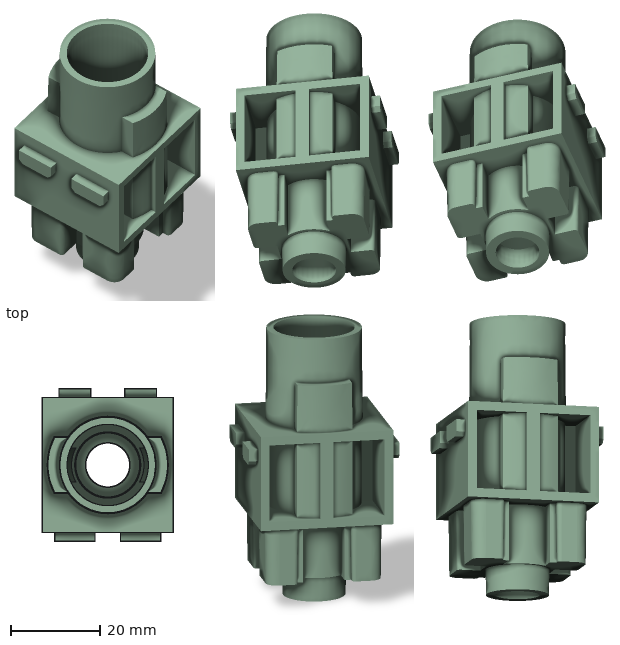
import cadquery as cq
import math

LEG_BOTTOM_Z = 5.7
BLOCK_BOTTOM_Z = 19.1
BLOCK_HEIGHT = 21.75
BARREL_TOP_Z = 61.7
BLOCK_TOP_Z = BLOCK_BOTTOM_Z + BLOCK_HEIGHT

BLOCK_X = 29.35
BLOCK_Y = 30.2
WALL = 2.0
DIVIDER = 3.0
WEB = 2.0
INNER_TUBE_RADIUS = 10.6

BARREL_BASE_RADIUS = 10.9
BARREL_TOP_RADIUS = 10.7

KEY_RADIUS = 13.55
KEY_WIDTH = 12.7
KEY_HEIGHT = 10.8
KEY_DRAFT = 0.8

TAB_PROTRUSION = 2.0
TAB_HEIGHT = 3.75
TAB_DROP = 3.75
TAB_OFFSET_X = 7.35
FRONT_TAB_WIDTH = 9.0
BACK_TAB_WIDTH = 7.2
TAB_CHAMFER = 1.0

CORE_X = 21.7
CORE_Y = 15.8
CORE_TUBE_RADIUS = 8.1
CORE_SLOT_WIDTH = 9.5
LEG_INNER_X = 2.5
LEG_OUTER_X = 12.75
LEG_INNER_Y = 6.05
LEG_OUTER_Y = 13.3
LEG_OUTER_FILLET = 2.8
LEG_INNER_FILLET = 1.0
LEG_DRAFT = 0.75

SPOUT_TOP_RADIUS = 7.2
SPOUT_BOTTOM_RADIUS = 7.05

BORE_RADIUS = 18.2 / 2
SHOULDER_Z = BLOCK_BOTTOM_Z + WALL
SEAT_TOP_RADIUS = 7.4
SEAT_BOTTOM_RADIUS = 7.15
OUTLET_TOP_RADIUS = 5.0
OUTLET_BOTTOM_RADIUS = 4.9

RAMP_FOOT_RADIUS = CORE_TUBE_RADIUS
RAMP_HEIGHT = 2.0
RAMP_WIDTH = 7.6
RAMP_OVERLAP = 0.5


def box(size_x, size_y, bottom, top):
    """Box centred on the Z axis between two heights."""
    return (
        cq.Workplane("XY")
        .workplane(offset=bottom)
        .rect(size_x, size_y)
        .extrude(top - bottom)
    )


def cylinder(radius, bottom, top):
    return cq.Workplane("XY").workplane(offset=bottom).circle(radius).extrude(top - bottom)


def cone(bottom_radius, top_radius, bottom, top):
    """Solid of revolution with a straight tapered side."""
    profile = [(0, bottom), (bottom_radius, bottom), (top_radius, top), (0, top)]
    return cq.Workplane("XZ").polyline(profile).close().revolve(360, (0, 0), (0, 1))


def key_outline(bottom):
    """Circle cut off by two flats, enclosing both keys."""
    half_width = KEY_WIDTH / 2
    flat_end_x = math.sqrt(KEY_RADIUS**2 - half_width**2)
    return (
        cq.Workplane("XY")
        .workplane(offset=bottom)
        .moveTo(-flat_end_x, -half_width)
        .lineTo(flat_end_x, -half_width)
        .threePointArc((KEY_RADIUS, 0), (flat_end_x, half_width))
        .lineTo(-flat_end_x, half_width)
        .threePointArc((-KEY_RADIUS, 0), (-flat_end_x, -half_width))
        .close()
    )


def make_block():
    """Frame, central web, divider and the tube with keys that passes through."""
    floor_z = BLOCK_BOTTOM_Z + WALL
    ceiling_z = BLOCK_TOP_Z - WALL
    chamber = box(BLOCK_X, BLOCK_Y - 2 * WALL, floor_z, ceiling_z)
    block = box(BLOCK_X, BLOCK_Y, BLOCK_BOTTOM_Z, BLOCK_TOP_Z).cut(chamber)
    block = block.union(box(WEB, BLOCK_Y, BLOCK_BOTTOM_Z, BLOCK_TOP_Z))
    block = block.union(box(BLOCK_X, DIVIDER, BLOCK_BOTTOM_Z, BLOCK_TOP_Z))
    block = block.union(cylinder(INNER_TUBE_RADIUS, BLOCK_BOTTOM_Z, BLOCK_TOP_Z))
    return block.union(key_outline(BLOCK_BOTTOM_Z).extrude(BLOCK_HEIGHT))


def make_barrel():
    barrel = cone(BARREL_BASE_RADIUS, BARREL_TOP_RADIUS, BLOCK_TOP_Z, BARREL_TOP_Z)
    return barrel.union(key_outline(BLOCK_TOP_Z).extrude(KEY_HEIGHT, taper=KEY_DRAFT))


def make_tab(side, width, centre_x):
    """Tab on the -Y (side = -1) or +Y (side = 1) face, lower corners chamfered."""
    top = BLOCK_TOP_Z - TAB_DROP
    tab = box(width, TAB_PROTRUSION, top - TAB_HEIGHT, top)
    tab = tab.faces("<Z").edges("|Y").chamfer(TAB_CHAMFER)
    return tab.translate((centre_x, side * (BLOCK_Y + TAB_PROTRUSION) / 2, 0))


def make_core():
    """Body below the block, slotted from +X and -X down to a round wall."""
    core = box(CORE_X, CORE_Y, LEG_BOTTOM_Z, BLOCK_BOTTOM_Z)
    slot = box(CORE_X, CORE_SLOT_WIDTH, LEG_BOTTOM_Z, BLOCK_BOTTOM_Z)
    slot = slot.cut(cylinder(CORE_TUBE_RADIUS, LEG_BOTTOM_Z, BLOCK_BOTTOM_Z))
    return core.cut(slot)


def make_leg():
    """Corner leg at +X, +Y with drafted sides, narrower at the bottom."""
    x0, x1 = LEG_INNER_X, LEG_OUTER_X
    y0, y1 = LEG_INNER_Y, LEG_OUTER_Y
    big, small = LEG_OUTER_FILLET, LEG_INNER_FILLET
    sketch = (
        cq.Sketch()
        .polygon([(x0, y0), (x1, y0), (x1, y1), (x0, y1), (x0, y0)])
        .vertices(">X and >Y").fillet(big).reset()
        .vertices(">X and <Y").fillet(small).reset()
        .vertices("<X and >Y").fillet(small).reset()
    )
    height = BLOCK_BOTTOM_Z - LEG_BOTTOM_Z
    leg = cq.Workplane("XY").placeSketch(sketch).extrude(-height, taper=LEG_DRAFT)
    return leg.translate((0, 0, BLOCK_BOTTOM_Z))


def cut_bore(body):
    body = body.cut(cylinder(BORE_RADIUS, SHOULDER_Z, BARREL_TOP_Z))
    body = body.cut(cone(SEAT_BOTTOM_RADIUS, SEAT_TOP_RADIUS, LEG_BOTTOM_Z, SHOULDER_Z))
    return body.cut(cone(OUTLET_BOTTOM_RADIUS, OUTLET_TOP_RADIUS, 0, LEG_BOTTOM_Z))


def make_ramps():
    """Two wedges on the +X and -X bore walls, thinning out upward."""
    top = SHOULDER_Z + RAMP_HEIGHT
    outer_radius = BORE_RADIUS + RAMP_OVERLAP
    ring = cylinder(outer_radius, SHOULDER_Z, top)
    ring = ring.cut(cone(RAMP_FOOT_RADIUS, BORE_RADIUS, SHOULDER_Z, top))
    return ring.intersect(box(2 * outer_radius, RAMP_WIDTH, SHOULDER_Z, top))


def make_part():
    body = make_block().union(make_barrel()).union(make_core())
    for side, width in ((-1, FRONT_TAB_WIDTH), (1, BACK_TAB_WIDTH)):
        for centre_x in (-TAB_OFFSET_X, TAB_OFFSET_X):
            body = body.union(make_tab(side, width, centre_x))
    leg = make_leg()
    leg_pair = leg.union(leg.mirror("YZ"))
    body = body.union(leg_pair).union(leg_pair.mirror("XZ"))
    body = body.union(cone(SPOUT_BOTTOM_RADIUS, SPOUT_TOP_RADIUS, 0, LEG_BOTTOM_Z))
    return cut_bore(body).union(make_ramps())


result = make_part()